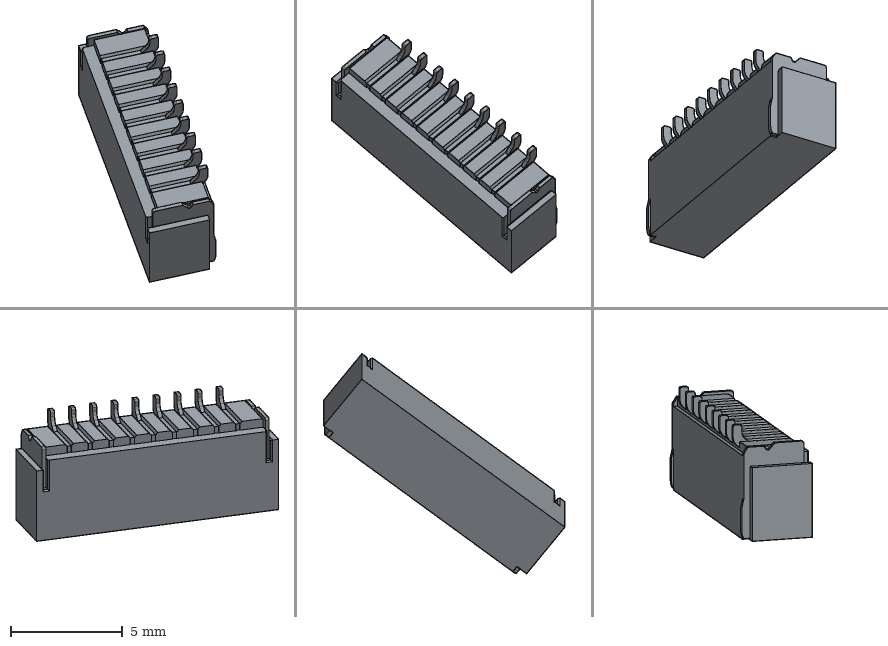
import cadquery as cq
import math


length = 11.5
shroud_depth = 2.81
end_wall_height = 3.39
wall_height = 3.84

front_wall_thickness = 0.55
core_back = 2.91
core_height = 4.25
back_wall_face = 3.1
core_end_chamfer = 0.05

plate_thickness = 0.18
plate_center_x = 5.3
plate_front = 0.28
plate_height = 4.37
plate_bottom = 0.07
plate_front_fillet = 0.12
plate_back_chamfer_height = 0.3
notch_bottom = 4.07
notch_front_top = 1.66
notch_front_bottom = 1.92
notch_back_bottom = 2.01
notch_back_top = 2.14
bulge_bottom = 0.44
bulge_top = 1.45
bulge_blend_top = 1.87

slot_floor = 2.42
slot_chamfer = 0.07

pin_count = 9
pin_pitch = 1.0
pin_width = 0.2
pin_thickness = 0.4
pin_top = 5.0
pin_back = 3.2
pin_tip_radius = 0.09
bend_radius = 0.52
bend_angle = math.radians(47)
inner_bend_start = 4.74
outer_bend_start = 4.45
groove_depth = 0.1
pin_end_recess = 0.03

root_embed = 0.12

core_end = plate_center_x - plate_thickness / 2
plate_outer = plate_center_x + plate_thickness / 2
groove_floor = core_height - groove_depth


def block(x_min, x_max, y_min, y_max, z_min, z_max):
    """Box given by its limits along each axis."""
    return cq.Workplane("XY").box(
        x_max - x_min, y_max - y_min, z_max - z_min, centered=False
    ).translate((x_min, y_min, z_min))


def slab(profile, center_x, width):
    """Extrude a closed YZ profile symmetrically about center_x."""
    return profile.extrude(width / 2, both=True).translate((center_x, 0, 0))


def make_housing():
    """Shroud, front and back walls, and the core with bevelled end edges."""
    half = length / 2
    shroud = block(-half, half, 0, shroud_depth, 0, end_wall_height)
    walls = block(-core_end, core_end, 0, back_wall_face, 0, wall_height)
    core = block(-core_end, core_end, front_wall_thickness, core_back, 0, core_height)
    core = core.edges("|Y and >Z").chamfer(core_end_chamfer)
    return shroud.union(walls).union(core)


def slot_cut(side):
    """Plate slot with bevelled mouths in the front wall and along the end wall."""
    center = side * plate_center_x
    channel = block(center - plate_thickness / 2, center + plate_thickness / 2,
                    0, plate_front, slot_floor, wall_height)
    mouth_width = plate_thickness + 2 * slot_chamfer
    mouth_height = wall_height - slot_floor + slot_chamfer
    mouth = (
        cq.Workplane("XZ")
        .center(center, wall_height - mouth_height / 2)
        .rect(mouth_width, mouth_height)
        .workplane(offset=-slot_chamfer)
        .center(0, slot_chamfer / 2)
        .rect(plate_thickness, mouth_height - slot_chamfer)
        .loft(ruled=True)
    )
    bevel = (
        cq.Workplane("XZ")
        .moveTo(side * plate_outer, end_wall_height)
        .lineTo(side * (plate_outer + slot_chamfer), end_wall_height)
        .lineTo(side * plate_outer, end_wall_height - slot_chamfer)
        .close()
        .extrude(-shroud_depth)
    )
    return channel.union(mouth).union(bevel)


def make_plate(side):
    """End plate with a notched top edge and a bulged back edge."""
    profile = (
        cq.Workplane("YZ")
        .moveTo(plate_front, plate_bottom)
        .lineTo(plate_front, plate_height - plate_front_fillet)
        .radiusArc((plate_front + plate_front_fillet, plate_height), plate_front_fillet)
        .lineTo(notch_front_top, plate_height)
        .lineTo(notch_front_bottom, notch_bottom)
        .lineTo(notch_back_bottom, notch_bottom)
        .lineTo(notch_back_top, core_height)
        .lineTo(core_back, core_height)
        .lineTo(back_wall_face, core_height - plate_back_chamfer_height)
        .lineTo(back_wall_face, bulge_blend_top)
        .lineTo(pin_back, bulge_top)
        .lineTo(pin_back, bulge_bottom)
        .tangentArcPoint((back_wall_face, plate_bottom), relative=False)
        .close()
    )
    return slab(profile, side * plate_center_x, plate_thickness)


def groove_cut(x):
    """Bevelled groove above a contact and the shallow recess at its front end."""
    flanks = (
        cq.Workplane("XZ")
        .moveTo(x - pin_width / 2, groove_floor)
        .lineTo(x + pin_width / 2, groove_floor)
        .lineTo(x + pin_width / 2 + groove_depth, core_height)
        .lineTo(x - pin_width / 2 - groove_depth, core_height)
        .close()
        .extrude(-core_back)
    )
    recess = block(x - pin_width / 2, x + pin_width / 2,
                   front_wall_thickness, front_wall_thickness + pin_end_recess,
                   wall_height, core_height)
    return flanks.union(recess)


def make_pin(x):
    """Contact tail that bends from the core up to a vertical tip."""
    pin_front = pin_back - pin_thickness
    bend_run = bend_radius * (1 - math.cos(bend_angle))
    bend_drop = bend_radius * math.sin(bend_angle)
    inner_end = (pin_front - bend_run, inner_bend_start - bend_drop)
    outer_end = (pin_back - bend_run, outer_bend_start - bend_drop)
    root_z = groove_floor - root_embed
    inner_root_y = inner_end[0] - (inner_end[1] - root_z) * math.tan(bend_angle)
    outer_root_y = core_back - root_embed
    outer_root_z = outer_end[1] - (outer_end[0] - outer_root_y) / math.tan(bend_angle)
    profile = (
        cq.Workplane("YZ")
        .moveTo(inner_root_y, root_z)
        .lineTo(*inner_end)
        .radiusArc((pin_front, inner_bend_start), -bend_radius)
        .lineTo(pin_front, pin_top - pin_tip_radius)
        .radiusArc((pin_front + pin_tip_radius, pin_top), pin_tip_radius)
        .lineTo(pin_back - pin_tip_radius, pin_top)
        .radiusArc((pin_back, pin_top - pin_tip_radius), pin_tip_radius)
        .lineTo(pin_back, outer_bend_start)
        .radiusArc(outer_end, bend_radius)
        .lineTo(outer_root_y, outer_root_z)
        .close()
    )
    return slab(profile, x, pin_width)


result = make_housing()

for side in (-1, 1):
    result = result.cut(slot_cut(side)).union(make_plate(side))

for index in range(pin_count):
    pin_x = (index - (pin_count - 1) / 2) * pin_pitch
    result = result.cut(groove_cut(pin_x)).union(make_pin(pin_x))